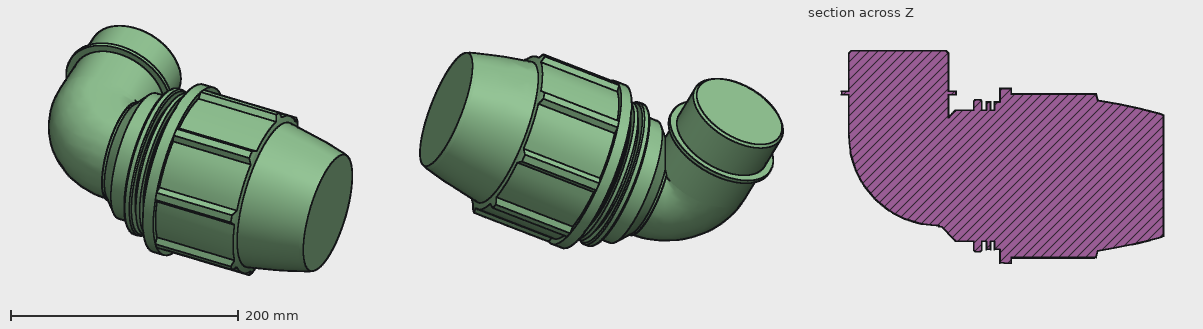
import cadquery as cq
import math


overall_depth = 187.0
collar_radius = 154.0 / 2

pipe_radius = 44.0
bend_radius = 35.5
outlet_end_y = overall_depth - collar_radius
outlet_chamfer = 2.3
stop_ring_radius = 50.5
stop_ring_y = 71.2
stop_ring_thickness = 3.5
outlet_x = stop_ring_radius
bend_end_x = outlet_x + bend_radius

neck_radius = 90.0 / 2
neck_end_x = 88.5
body_radius = 115.5 / 2
body_start_x = 100.5
clamp_ring_radius = 134.0 / 2
clamp_ring_x = 116.5
clamp_ring_width = 7.0
clamp_ring_chamfer = 1.5
thread_ring_radius = 65.0
thread_rings = [(127.5, 3.7), (134.7, 4.8)]

collar_start_x = 139.5
grip_start_x = 149.7
grip_end_x = 224.3
grip_radius = 72.0
taper_start_x = 225.7
taper_start_radius = 66.3
taper_end_radius = 54.7
taper_bulge = 0.9
nut_end_x = 283.5
nut_end_chamfer = 3.5
nut_end_inset = 1.5

rib_count = 8
rib_top_half_width = 3.5
rib_foot_half_width = 7.5
rib_foot_depth = 1.0
rib_end_x = 222.3


def disc(start_x, width, radius):
    """Solid disc on the nut axis."""
    return cq.Workplane("YZ", origin=(start_x, 0, 0)).circle(radius).extrude(width)


def make_elbow():
    """Quarter bend; the pipe circle is cut off at the bend axis so it can be swept."""
    chord_half = math.sqrt(pipe_radius**2 - bend_radius**2)
    return (
        cq.Workplane("XZ", origin=(outlet_x, bend_radius, 0))
        .moveTo(bend_radius, chord_half)
        .threePointArc((-pipe_radius, 0), (bend_radius, -chord_half))
        .close()
        .revolve(90, (bend_radius, 0, 0), (bend_radius, 1, 0))
    )


def make_outlet():
    """Straight outlet pipe with a chamfered mouth and a thin stop ring."""
    pipe = (
        cq.Workplane("XZ", origin=(outlet_x, bend_radius, 0))
        .circle(pipe_radius)
        .extrude(bend_radius - outlet_end_y)
        .faces(">Y")
        .chamfer(outlet_chamfer)
    )
    ring = (
        cq.Workplane("XZ", origin=(outlet_x, stop_ring_y, 0))
        .circle(stop_ring_radius)
        .extrude(-stop_ring_thickness)
    )
    return pipe.union(ring)


def make_body_and_nut():
    """Turned profile of neck, cone, body, collar, grip and tapered nut end."""
    taper_end_x = nut_end_x - nut_end_chamfer
    taper_middle = (
        (taper_start_x + taper_end_x) / 2,
        (taper_start_radius + taper_end_radius) / 2 + taper_bulge,
    )
    return (
        cq.Workplane("XY")
        .moveTo(bend_end_x, 0)
        .lineTo(bend_end_x, neck_radius)
        .lineTo(neck_end_x, neck_radius)
        .lineTo(body_start_x, body_radius)
        .lineTo(collar_start_x, body_radius)
        .lineTo(collar_start_x, collar_radius)
        .lineTo(grip_start_x, collar_radius)
        .lineTo(grip_start_x, grip_radius)
        .lineTo(grip_end_x, grip_radius)
        .lineTo(taper_start_x, taper_start_radius)
        .threePointArc(taper_middle, (taper_end_x, taper_end_radius))
        .lineTo(nut_end_x, taper_end_radius - nut_end_inset)
        .lineTo(nut_end_x, 0)
        .close()
        .revolve(360, (0, 0, 0), (1, 0, 0))
    )


def make_rib_envelope():
    """Turned space that bounds the ribs and gives them sloping ends."""
    return (
        cq.Workplane("XY")
        .moveTo(grip_start_x, 0)
        .lineTo(grip_start_x, collar_radius)
        .lineTo(rib_end_x, collar_radius)
        .lineTo(grip_end_x, grip_radius)
        .lineTo(grip_end_x, 0)
        .close()
        .revolve(360, (0, 0, 0), (1, 0, 0))
    )


def make_rib(angle):
    """Tapered grip rib, as high as the collar."""
    rib_top = math.sqrt(collar_radius**2 - rib_top_half_width**2)
    rib_foot = grip_radius - rib_foot_depth
    return (
        cq.Workplane("YZ", origin=(grip_start_x, 0, 0))
        .moveTo(rib_foot, -rib_foot_half_width)
        .lineTo(rib_top, -rib_top_half_width)
        .lineTo(rib_top, rib_top_half_width)
        .lineTo(rib_foot, rib_foot_half_width)
        .close()
        .extrude(grip_end_x - grip_start_x)
        .rotate((0, 0, 0), (1, 0, 0), angle)
        .intersect(make_rib_envelope())
    )


clamp_ring = disc(clamp_ring_x, clamp_ring_width, clamp_ring_radius)
clamp_ring = clamp_ring.edges().chamfer(clamp_ring_chamfer)

result = make_body_and_nut().union(make_outlet()).union(make_elbow()).union(clamp_ring)
for ring_x, ring_width in thread_rings:
    result = result.union(disc(ring_x, ring_width, thread_ring_radius))

rib_pitch = 360 / rib_count
for index in range(rib_count):
    result = result.union(make_rib((index + 0.5) * rib_pitch))